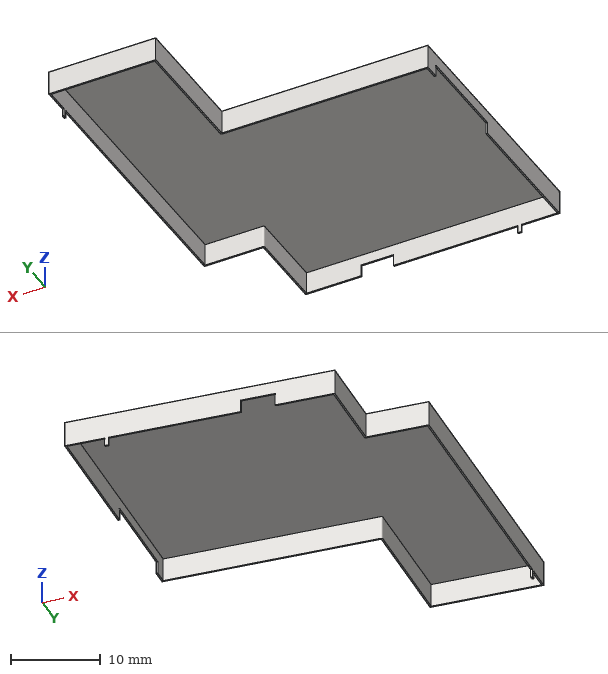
import cadquery as cq

length_x = 39.5
length_y = 46.5
cover_height = 3.0
wall = 0.2

arm_left_x = 26.0
arm_base_y = 30.95
front_right_x = 32.05
front_step_y = 9.95

notch_height = 1.5
front_notch_x = 20.9
front_notch_width = 4.1
left_notch_y = 16.95
left_notch_width = 12.1

tab_length = 0.98
tab_width = 0.45
front_tab_x = 4.75
right_tab_y = 42.83


def box_at(x, y, z, size_x, size_y, size_z):
    """Box with its lowest corner at (x, y, z)."""
    return cq.Workplane("XY").box(size_x, size_y, size_z, centered=False).translate((x, y, z))


outline = [
    (0, 0),
    (front_right_x, 0),
    (front_right_x, front_step_y),
    (length_x, front_step_y),
    (length_x, length_y),
    (arm_left_x, length_y),
    (arm_left_x, arm_base_y),
    (0, arm_base_y),
]
cover = cq.Workplane("XY").polyline(outline).close().extrude(cover_height)
cover = cover.faces("<Z").shell(-wall)

cutter_depth = 2 * wall
front_notch = box_at(front_notch_x, 0, 0, front_notch_width, cutter_depth, notch_height)
left_notch = box_at(0, left_notch_y, 0, cutter_depth, left_notch_width, notch_height)
cover = cover.cut(front_notch).cut(left_notch)

tab_height = tab_length + cover_height
front_tab = box_at(front_tab_x, 0, -tab_length, tab_width, wall, tab_height)
right_tab = box_at(length_x - wall, right_tab_y, -tab_length, wall, tab_width, tab_height)

result = cover.union(front_tab).union(right_tab)